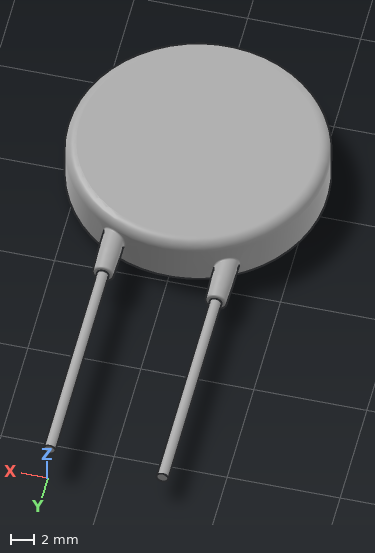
import cadquery as cq

body_diameter = 23.0
body_height = 5.2
rim_fillet = 1.0

lead_spacing = 10.0
lead_height_offset = 0.5
wire_diameter = 1.05
wire_end = 34.5

socket_diameter = 2.02
socket_end = 12.35
sleeve_tip_diameter = 1.9
sleeve_end = 14.55
sleeve_tip_fillet = 0.2
root_fillet = 0.15
root_y = 6.9


def lead_profile():
    """Half section of one lead, with its axis along Y at X = 0."""
    return (
        cq.Workplane("XY")
        .moveTo(0, root_y)
        .lineTo(socket_diameter / 2, root_y)
        .lineTo(socket_diameter / 2, socket_end)
        .lineTo(sleeve_tip_diameter / 2, sleeve_end - sleeve_tip_fillet)
        .radiusArc((sleeve_tip_diameter / 2 - sleeve_tip_fillet, sleeve_end), -sleeve_tip_fillet)
        .lineTo(wire_diameter / 2, sleeve_end)
        .lineTo(wire_diameter / 2, wire_end)
        .lineTo(0, wire_end)
        .close()
    )


def lead(side):
    """Wire with its collar; side is -1 (low, -X) or +1 (high, +X)."""
    solid = lead_profile().revolve(360, (0, 0, 0), (0, 1, 0))
    return solid.translate((side * lead_spacing / 2, 0, side * lead_height_offset))


def collar_roots():
    """Selector box around the curves where the collars meet the disc side."""
    half_width = lead_spacing / 2 + socket_diameter
    half_height = lead_height_offset + socket_diameter / 2 + root_fillet / 2
    return cq.selectors.BoxSelector(
        (-half_width, root_y, -half_height),
        (half_width, body_diameter / 2, half_height),
        boundingbox=True,
    )


disc = cq.Workplane("XY").cylinder(body_height, body_diameter / 2)
disc = disc.faces("<Z or >Z").edges().fillet(rim_fillet)

result = disc.union(lead(-1)).union(lead(1))
result = result.edges(collar_roots()).fillet(root_fillet)